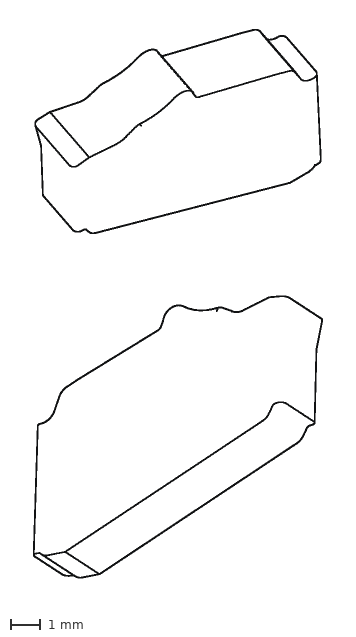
import cadquery as cq

LENGTH = 10.25
HEIGHT = 8.0
TIP_WIDTH = 2.39
BODY_WIDTH = 2.13
CORNER_RADIUS = 0.2
MARGIN = 0.01

TIP_Z = 7.2
FRONT_KINK = (0.15, 6.06)
FRONT_FOOT = (0.23, 3.4)

BACK_FOOT = (LENGTH, 0.25)
BACK_TOP = (10.09, 4.98)

SEAM_UPPER = (2.86, 7.38)
SEAM_LOWER = FRONT_KINK
FLARE_REACH = 4.1
FLARE_HEIGHT = 2.05
FLARE_TAPER = 0.123

FADE_END_Y = 2.24
FADE_OFFSET = 0.013


def side_profile():
    """Closed Y-Z outline, from the tip over the top to the back and along the bottom."""
    return (
        cq.Workplane("YZ")
        .moveTo(0, TIP_Z)
        .lineTo(0.69, 7.32)
        .lineTo(1.74, 7.14)
        .threePointArc((2.0, 7.13), (2.27, 7.25))
        .lineTo(2.65, 7.47)
        .threePointArc((2.73, 7.49), (2.8, 7.5))
        .lineTo(3.01, 7.5)
        .threePointArc((3.64, 7.62), (4.21, 7.91))
        .threePointArc((4.5, HEIGHT), (5.0, 7.55))
        .lineTo(5.08, 7.36)
        .threePointArc((5.15, 7.29), (5.25, 7.25))
        .lineTo(8.35, 6.25)
        .lineTo(8.77, 6.1)
        .threePointArc((8.98, 6.0), (9.12, 5.82))
        .lineTo(9.33, 5.32)
        .threePointArc((9.52, 5.07), (9.89, BACK_TOP[1]))
        .lineTo(*BACK_TOP)
        .lineTo(*BACK_FOOT)
        .lineTo(9.92, 0.22)
        .threePointArc((9.81, 0.12), (9.66, 0.05))
        .lineTo(8.9, 0)
        .lineTo(1.05, 2.87)
        .threePointArc((0.88, 2.96), (0.76, 3.12))
        .lineTo(0.67, 3.27)
        .threePointArc((0.6, 3.36), (0.48, FRONT_FOOT[1]))
        .lineTo(*FRONT_FOOT)
        .lineTo(*FRONT_KINK)
        .close()
    )


def plate(width):
    """The side outline extruded evenly about the mid plane."""
    return side_profile().extrude(width / 2, both=True)


def flare_wedge():
    """Prism along the seam that widens with distance above it."""
    run = SEAM_LOWER[0] - SEAM_UPPER[0]
    drop = SEAM_LOWER[1] - SEAM_UPPER[1]
    seam = cq.Plane(origin=(0, *SEAM_UPPER), xDir=(1, 0, 0), normal=(0, run, drop))
    base = BODY_WIDTH / 2
    top = base + FLARE_TAPER * FLARE_HEIGHT
    return (
        cq.Workplane(seam)
        .polyline([(-base, 0), (base, 0), (top, FLARE_HEIGHT), (-top, FLARE_HEIGHT)])
        .close()
        .extrude(FLARE_REACH)
    )


def fade_prism():
    """Upright prism whose sides open slowly towards the tip from the upper end of the seam."""
    start = BODY_WIDTH / 2
    wide = TIP_WIDTH
    return (
        cq.Workplane("XY")
        .polyline([
            (-start, SEAM_UPPER[0]), (start, SEAM_UPPER[0]),
            (start + FADE_OFFSET, FADE_END_Y), (wide, 0),
            (-wide, 0), (-start - FADE_OFFSET, FADE_END_Y),
        ])
        .close()
        .extrude(HEIGHT)
    )


def upright_corners(part, y_min, y_max):
    """Upright side edges lying entirely between two Y positions."""
    found = []
    for edge in part.edges().vals():
        box = edge.BoundingBox()
        is_corner = box.zlen > CORNER_RADIUS and box.xlen < box.zlen
        if is_corner and y_min <= box.ymin and box.ymax <= y_max:
            found.append(edge)
    return part.newObject(found)


def rounded(part, y_min, y_max):
    """The part with its upright corners between two Y positions rounded."""
    return upright_corners(part, y_min - MARGIN, y_max + MARGIN).fillet(CORNER_RADIUS)


body = rounded(plate(BODY_WIDTH), 0, FRONT_FOOT[0])
body = rounded(body, BACK_TOP[0], LENGTH)

flare = plate(2 * TIP_WIDTH).intersect(flare_wedge()).intersect(fade_prism())
flare = rounded(flare, 0, FRONT_KINK[0])

result = body.union(flare)